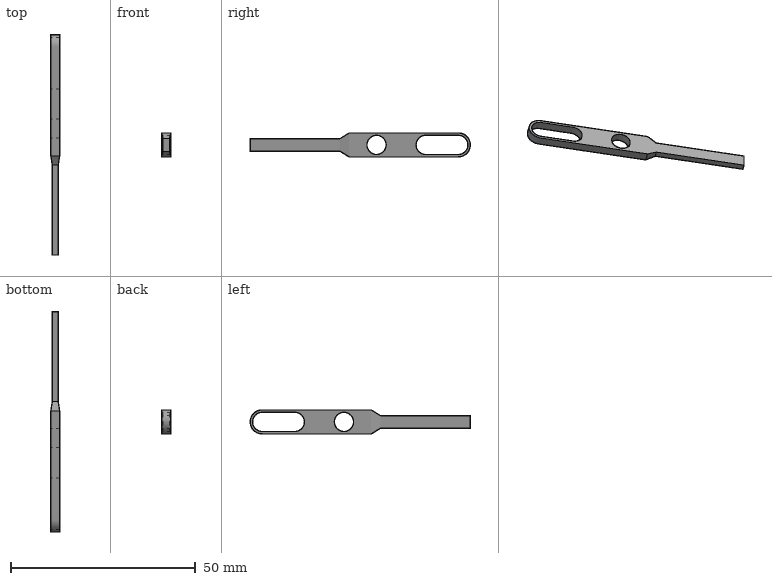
import cadquery as cq

length = 59.55
thickness = 2.45
height = 6.55

shank_length = 24.3
shank_thickness = 1.65
shank_height = 3.45
taper_length = 2.5

hole_diameter = 5.1
hole_from_tip = 34.2
slot_length = 13.95
slot_width = hole_diameter
rim = (height - slot_width) / 2

tip_y = -length / 2
end_y = length / 2
shank_end_y = tip_y + shank_length
handle_start_y = shank_end_y + taper_length
hole_y = tip_y + hole_from_tip
slot_y = end_y - rim - slot_length / 2


def make_handle():
    """Flat bar with a full-round +Y end, extruded along X."""
    half_height = height / 2
    round_start_y = end_y - half_height
    return (
        cq.Workplane("YZ", origin=(-thickness / 2, 0, 0))
        .moveTo(handle_start_y, -half_height)
        .lineTo(round_start_y, -half_height)
        .threePointArc((end_y, 0), (round_start_y, half_height))
        .lineTo(handle_start_y, half_height)
        .close()
        .extrude(thickness)
    )


def make_taper():
    """Four-sided transition from the handle section to the shank section."""
    return (
        cq.Workplane("XZ", origin=(0, handle_start_y, 0))
        .rect(thickness, height)
        .workplane(offset=taper_length)
        .rect(shank_thickness, shank_height)
        .loft(ruled=True)
    )


def make_shank():
    """Rectangular bar reaching from the taper to the tip."""
    return (
        cq.Workplane("XZ", origin=(0, shank_end_y, 0))
        .rect(shank_thickness, shank_height)
        .extrude(shank_length)
    )


def make_openings():
    """Cutters for the slot and the round hole, both passing through the handle."""
    slot = (
        cq.Workplane("YZ", origin=(-thickness / 2, 0, 0))
        .center(slot_y, 0)
        .slot2D(slot_length, slot_width)
        .extrude(thickness)
    )
    hole = (
        cq.Workplane("YZ", origin=(-thickness / 2, 0, 0))
        .center(hole_y, 0)
        .circle(hole_diameter / 2)
        .extrude(thickness)
    )
    return slot.union(hole)


result = make_handle().union(make_taper()).union(make_shank()).cut(make_openings())